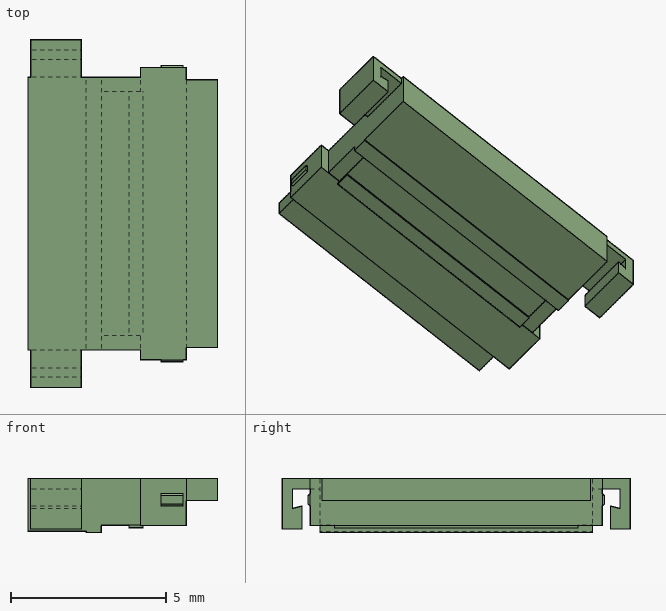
import cadquery as cq

length = 6.1
width = 11.2
height = 1.75

body_width = 8.78
back_depth = 1.7
front_depth = 1.5
ridge_start = 1.87
ridge_end = 2.36

shoulder_start = 3.62
shoulder_end = 5.1
shoulder_width = 9.41
shoulder_depth = 1.52
tongue_width = 8.62
tongue_depth = 0.72

nub_start = 4.29
nub_end = 5.0
nub_top = 0.49
nub_bottom = 0.88
nub_reach = 0.07
nub_bevel = 0.06

arm_start = 0.09
arm_end = 1.72
arm_depth = 1.64
arm_wall = 0.34
web_thickness = 0.35
lip_width = 0.64
lip_tip_depth = 0.88
lip_root_depth = 0.96

inner_width = 7.84
inner_depth = shoulder_depth
pad_start = 3.25
pad_end = 3.71
pad_depth = 1.59


def centered_block(x_start, x_end, block_width, depth):
    """Block hanging down from the top face, centred on Y = 0."""
    return (
        cq.Workplane("XY")
        .box(x_end - x_start, block_width, depth, centered=(False, True, False))
        .translate((x_start, 0, -depth))
    )


def extrude_along_x(points, x_start, x_end):
    """Extrude a (Y, Z) outline from x_start to x_end."""
    return cq.Workplane("YZ", origin=(x_start, 0, 0)).polyline(points).close().extrude(x_end - x_start)


def make_arm():
    """Arm on the +Y side: a top web, an outer wall and an inward lip with a sloped top."""
    outer = width / 2
    web_root = body_width / 2
    wall_inner = outer - arm_wall
    lip_inner = outer - lip_width
    outline = [
        (web_root, 0),
        (outer, 0),
        (outer, -arm_depth),
        (lip_inner, -arm_depth),
        (lip_inner, -lip_tip_depth),
        (wall_inner, -lip_root_depth),
        (wall_inner, -web_thickness),
        (web_root, -web_thickness),
    ]
    return extrude_along_x(outline, arm_start, arm_end)


def make_nub():
    """Latch nub on the +Y shoulder face, bevelled above and below."""
    base = shoulder_width / 2
    tip = base + nub_reach
    outline = [
        (base, -nub_top),
        (tip, -nub_top - nub_bevel),
        (tip, -nub_bottom + nub_bevel),
        (base, -nub_bottom),
    ]
    return extrude_along_x(outline, nub_start, nub_end)


result = (
    centered_block(0, ridge_end, body_width, back_depth)
    .union(centered_block(ridge_start, ridge_end, body_width, height))
    .union(centered_block(ridge_end, shoulder_end, body_width, front_depth))
    .union(centered_block(ridge_end, shoulder_end, inner_width, inner_depth))
    .union(centered_block(pad_start, pad_end, inner_width, pad_depth))
    .union(centered_block(shoulder_start, shoulder_end, shoulder_width, shoulder_depth))
    .union(centered_block(shoulder_end, length, tongue_width, tongue_depth))
)

for side_feature in (make_arm(), make_nub()):
    result = result.union(side_feature).union(side_feature.mirror("XZ"))